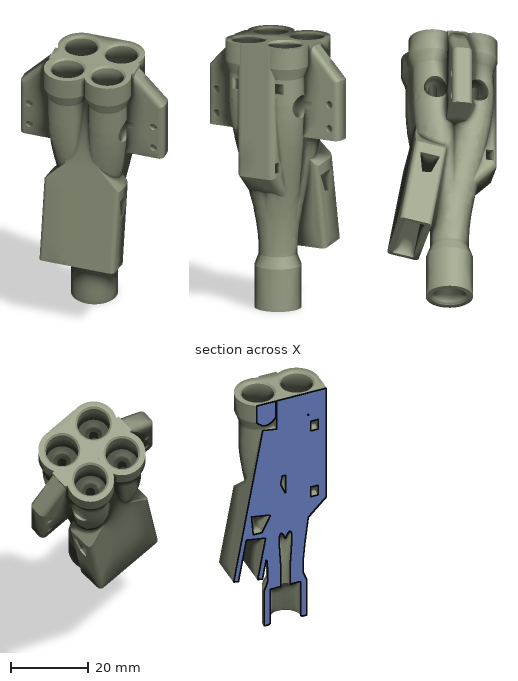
import cadquery as cq
import math

height = 71.5
socket_d = 12.2
pipe_d = 10.0
bore_d = 8.45
channel_d = 2.4
countersink_d = 4.4
bore_chamfer = 0.5
body_half = 11.6
cone_h = 3.0

top_socket_h = 5.4
base_socket_h = 11.3
bend_top = 56.35
bend_bottom = 15.2
bend_ease_top = 12.9
bend_ease_bottom = 14.3

pocket_d = 6.1
pocket_z = 55.5
pocket_seat = 2.8

wing_span = 39.1
wing_thick = 5.15
wing_offset = 0.1
wing_bottom = 46.7
wing_edge_top = 62.55
wing_root_top = 70.85
wing_round = 1.35
wing_hole_d = 1.9
wing_hole_x = 16.95
wing_hole_z = (49.8, 56.2)

fin_half_width = 5.7
fin_bottom = 36.5
fin_round = 1.7
slot_centre_y = 19.65
slot_inner_r = 10.6
slot_outer_r = 12.45
slot_h = 2.9
slot_z = (39.3, 60.5)

box_lean = 10.0
box_front_y = -14.65
box_front_z = 16.65
box_width = 20.5
box_depth = 8.4
box_side_h = 22.95
box_round = 1.15
box_side_wall = 1.2
box_wall = 1.5
box_hollow_h = 12.9
web_half_width = 4.6
web_top = 47.2
window_points = [(-4.3, 35.2), (-9.5, 36.1), (-9.0, 30.4), (-6.65, 30.4)]

pipe_offset = body_half - socket_d / 2
pipe_top = height - top_socket_h - cone_h
neck_bottom = base_socket_h + cone_h
wing_reach = wing_span / 2
box_half_width = box_width / 2
axis_xy = (pipe_offset, pipe_offset)

lean = math.radians(box_lean)
box_face = cq.Plane(
    origin=(0, box_front_y, box_front_z),
    xDir=(1, 0, 0),
    normal=(0, -math.cos(lean), math.sin(lean)),
)


def cylinder(x, y, z, diameter, length):
    return cq.Workplane("XY", origin=(x, y, z)).circle(diameter / 2).extrude(length)


def cone(x, y, z, low_d, high_d, length):
    """Frustum standing on height z."""
    axis = cq.Vector(0, 0, 1)
    solid = cq.Solid.makeCone(low_d / 2, high_d / 2, length, cq.Vector(x, y, z), axis)
    return cq.Workplane(obj=solid)


def swept_tube(diameter):
    """Round bar that follows the +X +Y pipe from its straight part into the neck."""
    x, y = axis_xy
    path = cq.Workplane("XY").bezier([
        (x, y, bend_top),
        (x, y, bend_top - bend_ease_top),
        (0, 0, bend_bottom + bend_ease_bottom),
        (0, 0, bend_bottom),
    ])
    return cq.Workplane("XY", origin=(x, y, bend_top)).circle(diameter / 2).sweep(path)


def four_corners(shape):
    """Keep what lies in the +X +Y corner and mirror it into the other three."""
    corner = cq.Workplane("XY").box(body_half, body_half, height, centered=False)
    quarter = shape.intersect(corner)
    half = quarter.union(quarter.mirror("YZ"))
    return half.union(half.mirror("XZ"))


def pipe():
    """Socket, taper, straight part and bend of the +X +Y pipe."""
    x, y = axis_xy
    socket = cylinder(x, y, height, socket_d, -top_socket_h)
    taper = cone(x, y, pipe_top, pipe_d, socket_d, cone_h)
    straight = cylinder(x, y, bend_top, pipe_d, pipe_top - bend_top)
    return socket.union(taper).union(straight).union(swept_tube(pipe_d))


def outlet():
    """Common socket at the bottom, tapering to the neck."""
    socket = cylinder(0, 0, 0, socket_d, base_socket_h)
    taper = cone(0, 0, base_socket_h, socket_d, pipe_d, cone_h)
    neck = cylinder(0, 0, neck_bottom, pipe_d, bend_bottom - neck_bottom)
    return socket.union(taper).union(neck)


def wing(side):
    """Mounting wing on one side (-1 or 1) and the block that joins it to the sockets."""
    outline = [
        (0, wing_bottom),
        (side * wing_reach, wing_bottom),
        (side * wing_reach, wing_edge_top),
        (side * body_half, wing_root_top),
        (0, wing_root_top),
    ]
    plane_y = side * wing_offset
    body = (
        cq.Workplane("XZ", origin=(0, plane_y, 0))
        .polyline(outline).close()
        .extrude(wing_thick / 2, both=True)
    )
    outer_edges = body.faces(">X" if side > 0 else "<X").edges("|Z")
    slope = cq.Vector(side * (body_half - wing_reach), 0, wing_root_top - wing_edge_top)
    slope_edges = body.edges(cq.selectors.ParallelDirSelector(slope))
    body = body.newObject(outer_edges.vals() + slope_edges.vals()).fillet(wing_round)
    holes = (
        cq.Workplane("XZ", origin=(0, plane_y, 0))
        .pushPoints([(side * wing_hole_x, z) for z in wing_hole_z])
        .circle(wing_hole_d / 2)
        .extrude(wing_thick, both=True)
    )
    root = (
        cq.Workplane("XY", origin=(side * body_half / 2, plane_y, height))
        .rect(body_half, wing_thick)
        .extrude(-top_socket_h)
    )
    return body.cut(holes).union(root)


def back_fin():
    """Upright block behind the rear pipes, sloping in at 45 degrees at its bottom."""
    outline = [
        (0, height),
        (body_half, height),
        (body_half, fin_bottom),
        (0, fin_bottom - body_half),
    ]
    block = (
        cq.Workplane("YZ").polyline(outline).close()
        .extrude(fin_half_width, both=True)
    )
    back = block.faces(">Y").edges("|Z")
    slope = block.edges(cq.selectors.ParallelDirSelector(cq.Vector(0, 1, 1)))
    return block.newObject(back.vals() + slope.vals()).fillet(fin_round)


def front_box():
    """Leaning box with 45 degree shoulders and a web reaching up between the front pipes."""
    shoulder_top = box_side_h + box_half_width - web_half_width
    half = [
        (box_half_width, 0),
        (box_half_width, box_side_h),
        (web_half_width, shoulder_top),
        (web_half_width, web_top),
    ]
    outline = half + [(-x, up) for x, up in reversed(half)]
    body = cq.Workplane(box_face).polyline(outline).close().extrude(-box_depth)
    long_edges = cq.selectors.ParallelDirSelector(box_face.yDir)
    side_edges = body.faces("<X or >X").edges(long_edges)
    return body.newObject(side_edges.vals()).fillet(box_round)


def box_hollow():
    """Hollow of the front box, open at its bottom, and the window that crosses the box above it."""
    half_width = box_half_width - box_side_wall
    hollow = (
        cq.Workplane(box_face).workplane(offset=-box_wall)
        .moveTo(-half_width, 0)
        .rect(2 * half_width, box_hollow_h, centered=False)
        .extrude(2 * box_wall - box_depth)
    )
    window = (
        cq.Workplane("YZ").polyline(window_points).close()
        .extrude(box_half_width, both=True)
    )
    return hollow.union(window)


def strap_slot(z):
    """Ring groove through the fin, curved around an upright axis behind the part."""
    return (
        cq.Workplane("XY", origin=(0, slot_centre_y, z - slot_h / 2))
        .circle(slot_outer_r).circle(slot_inner_r)
        .extrude(slot_h)
    )


def ball_pocket(side, row):
    """Round-ended pocket from the outer flank into the pipe at X side and Y row (-1 or 1)."""
    seat_x = side * (pipe_offset + pocket_seat)
    y = row * pipe_offset + side * wing_offset
    drill = (
        cq.Workplane("YZ", origin=(seat_x, y, pocket_z))
        .circle(pocket_d / 2)
        .extrude(side * body_half - seat_x)
    )
    ball = cq.Workplane("XY", origin=(seat_x, y, pocket_z)).sphere(pocket_d / 2)
    return drill.union(ball)


def pipe_cavity():
    """Chamfered tube bore, countersink and channel of the +X +Y pipe down into the neck."""
    x, y = axis_xy
    funnel_h = (countersink_d - channel_d) / 2
    rim_d = bore_d + 2 * bore_chamfer
    bore = cylinder(x, y, pipe_top, bore_d, height - pipe_top)
    rim = cone(x, y, height - bore_chamfer, bore_d, rim_d, bore_chamfer)
    funnel = cone(x, y, pipe_top - funnel_h, channel_d, countersink_d, funnel_h)
    straight = cylinder(x, y, bend_top, channel_d, pipe_top - bend_top)
    return bore.union(rim).union(funnel).union(straight).union(swept_tube(channel_d))


def outlet_cavity():
    """Chamfered tube bore of the bottom socket and the channel above it."""
    rim = cone(0, 0, 0, bore_d + 2 * bore_chamfer, bore_d, bore_chamfer)
    bore = cylinder(0, 0, 0, bore_d, base_socket_h)
    channel = cylinder(0, 0, base_socket_h, channel_d, bend_bottom - base_socket_h)
    return rim.union(bore).union(channel)


result = outlet().union(four_corners(pipe()))
for part in (wing(-1), wing(1), front_box(), back_fin()):
    result = result.union(part)
for slot_height in slot_z:
    result = result.cut(strap_slot(slot_height))
result = result.cut(box_hollow()).cut(outlet_cavity())
result = result.cut(four_corners(pipe_cavity()))
for side in (-1, 1):
    for row in (-1, 1):
        result = result.cut(ball_pocket(side, row))
result = result.clean()